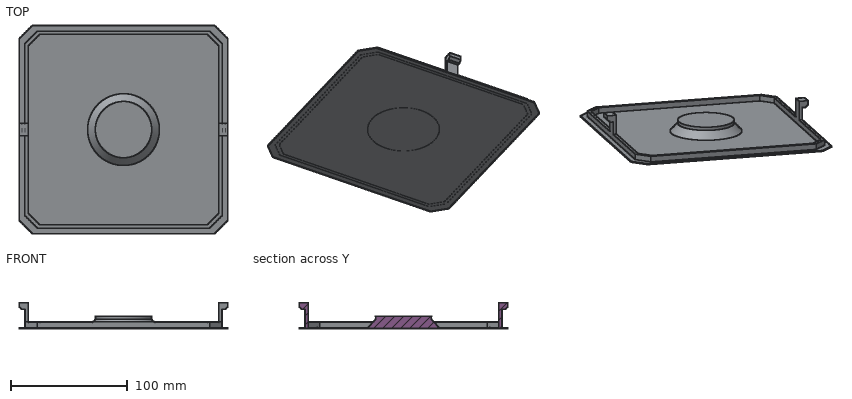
import cadquery as cq

hook_span = 178.6
plate_side = 178.5
plate_thickness = 0.9
plate_corner_cut = 11.5

rim_inset = 5.0
rim_side = hook_span - 2 * rim_inset
rim_wall = 2.9
rim_top = 5.7
rim_corner_cut = 10.7
rim_inner_corner_cut = 9.8

boss_radius = 48.2 / 2
boss_top = 10.7
cone_top = 7.9
cone_base_radius = 30.7

clip_width = 10.7
clip_top = 22.3
hook_underside = 16.5
hook_cut = 2.3


def cut_corner_slab(side, height, corner_cut, base):
    """Square slab with its four vertical corners cut at 45 degrees."""
    slab = cq.Workplane("XY").box(side, side, height, centered=(True, True, False))
    return slab.edges("|Z").chamfer(corner_cut).translate((0, 0, base))


def make_rim():
    height = rim_top - plate_thickness
    outer = cut_corner_slab(rim_side, height, rim_corner_cut, plate_thickness)
    inner_side = rim_side - 2 * rim_wall
    inner = cut_corner_slab(inner_side, height, rim_inner_corner_cut, plate_thickness)
    return outer.cut(inner)


def make_boss():
    return (
        cq.Workplane("XZ")
        .moveTo(0, 0)
        .lineTo(cone_base_radius, 0)
        .lineTo(cone_base_radius, plate_thickness)
        .lineTo(boss_radius, cone_top)
        .lineTo(boss_radius, boss_top)
        .lineTo(0, boss_top)
        .close()
        .revolve(360, (0, 0, 0), (0, 1, 0))
    )


def make_clip():
    """Clip on the +X side, its post flush with the rim wall."""
    tip = hook_span / 2
    post_outer = rim_side / 2
    post_inner = post_outer - rim_wall
    return (
        cq.Workplane("XZ")
        .moveTo(post_inner, 0)
        .lineTo(post_outer, 0)
        .lineTo(post_outer, hook_underside)
        .lineTo(tip - hook_cut, hook_underside)
        .lineTo(tip, hook_underside + hook_cut)
        .lineTo(tip, clip_top)
        .lineTo(post_inner, clip_top)
        .close()
        .extrude(clip_width / 2, both=True)
    )


plate = cut_corner_slab(plate_side, plate_thickness, plate_corner_cut, 0)
clip = make_clip()
result = plate.union(make_rim()).union(make_boss()).union(clip).union(clip.mirror("YZ"))